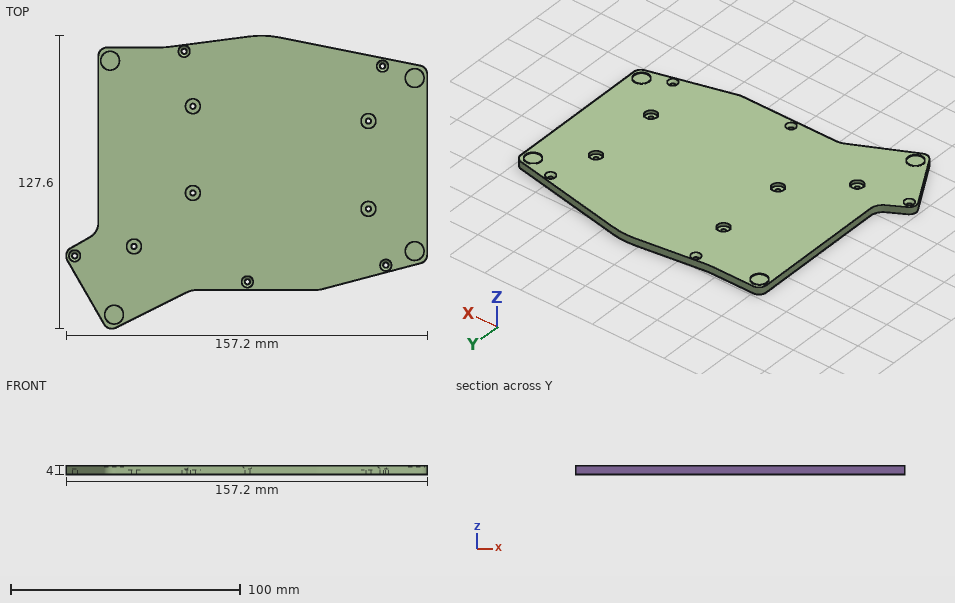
import cadquery as cq

LENGTH = 157.2
THICKNESS = 4.0
LEFT_EDGE_X = 14.0
UPPER_LEFT_Y = 122.5
LOWER_EDGE_Y = 16.8

CORNER_RADIUS = 4.0
INNER_CORNER_RADIUS = 7.0
LOWER_BEND_RADIUS = 9.9
UPPER_BEND_RADIUS = 39.3

OUTLINE = [
    ((LEFT_EDGE_X, UPPER_LEFT_Y), CORNER_RADIUS),
    ((42.9, UPPER_LEFT_Y), UPPER_BEND_RADIUS),
    ((86.5, 128.1), UPPER_BEND_RADIUS),
    ((LENGTH, 114.0), CORNER_RADIUS),
    ((LENGTH, 29.2), CORNER_RADIUS),
    ((110.0, LOWER_EDGE_Y), LOWER_BEND_RADIUS),
    ((54.5, LOWER_EDGE_Y), LOWER_BEND_RADIUS),
    ((18.4, -1.3), CORNER_RADIUS),
    ((-1.45, 33.2), CORNER_RADIUS),
    ((LEFT_EDGE_X, 42.0), INNER_CORNER_RADIUS),
]

HOLE_DIAMETER = 2.2

COUNTERSINK_DIAMETER = 5.0
COUNTERSINK_ANGLE = 90.0
COUNTERSUNK_HOLES = [(51.4, 120.7), (137.7, 114.3), (3.8, 31.7), (78.9, 20.5), (139.1, 27.7)]

COUNTERBORE_DIAMETER = 6.5
COUNTERBORE_DEPTH = 1.7
LEFT_COLUMN_X = 55.2
RIGHT_COLUMN_X = 131.5
COUNTERBORED_HOLES = [
    (LEFT_COLUMN_X, 96.8),
    (LEFT_COLUMN_X, 59.1),
    (RIGHT_COLUMN_X, 90.4),
    (RIGHT_COLUMN_X, 52.2),
    (29.5, 35.8),
]

RECESS_DIAMETER = 8.2
RECESS_DEPTH = 0.5
RIGHT_RECESS_X = 151.7
RECESSES = [(19.2, 116.6), (RIGHT_RECESS_X, 109.0), (RIGHT_RECESS_X, 33.8), (20.9, 6.1)]


def make_plate():
    """Extrude the sharp outline, then round each of its upright edges."""
    corners = [point for point, radius in OUTLINE]
    plate = cq.Workplane("XY").polyline(corners).close().extrude(THICKNESS)
    for (x, y), radius in OUTLINE:
        edge = cq.selectors.NearestToPointSelector((x, y, THICKNESS / 2))
        plate = plate.edges("|Z").edges(edge).fillet(radius)
    return plate


def on_top(body, points):
    """Place points, given in plate coordinates, on the top face."""
    return body.faces(">Z").workplane(origin=(0, 0, THICKNESS)).pushPoints(points)


result = make_plate()
result = on_top(result, COUNTERSUNK_HOLES).cskHole(HOLE_DIAMETER, COUNTERSINK_DIAMETER, COUNTERSINK_ANGLE)
result = on_top(result, COUNTERBORED_HOLES).cboreHole(HOLE_DIAMETER, COUNTERBORE_DIAMETER, COUNTERBORE_DEPTH)
result = on_top(result, RECESSES).circle(RECESS_DIAMETER / 2).cutBlind(-RECESS_DEPTH)